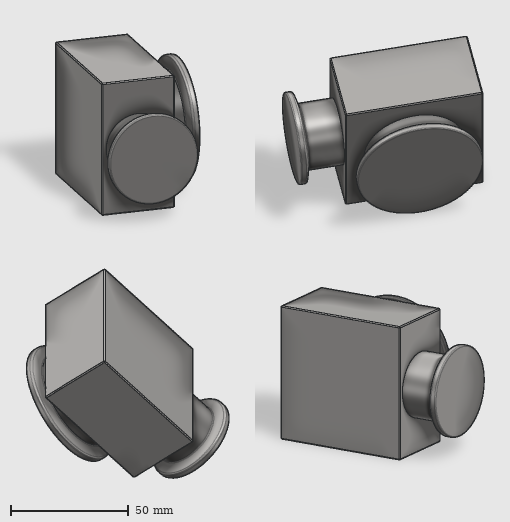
import cadquery as cq
import math

body_length = 60.0
body_depth = 33.0
body_height = 59.5
body_chamfer = 0.5

rear_flange_diameter = 55.0
rear_tube_diameter = 44.0
rear_port_reach = 12.5

side_flange_diameter = 40.0
side_tube_diameter = 29.0
side_port_reach = 20.0

rim_width = 3.0
cone_angle = 15.0
rim_front_fillet = 0.5
rim_back_fillet = 1.0
neck_fillet = 0.5


def make_body():
    return cq.Workplane("XY").box(body_length, body_depth, body_height).edges().chamfer(body_chamfer)


def make_port(flange_diameter, tube_diameter, reach):
    """Solid clamp-flange port along +X, from its root at X = 0 to its flange face at X = reach."""
    flange_radius = flange_diameter / 2
    tube_radius = tube_diameter / 2
    rim_back = reach - rim_width
    cone_start = rim_back - (flange_radius - tube_radius) * math.tan(math.radians(cone_angle))

    port = (
        cq.Workplane("XY")
        .moveTo(0, 0)
        .lineTo(0, tube_radius)
        .lineTo(cone_start, tube_radius)
        .lineTo(rim_back, flange_radius)
        .lineTo(reach, flange_radius)
        .lineTo(reach, 0)
        .close()
        .revolve(360, (0, 0, 0), (1, 0, 0))
    )

    def ring_at(position):
        """Selects the circular edge lying in the plane X = position."""
        margin = 0.01
        return cq.selectors.BoxSelector(
            (position - margin, -flange_radius, -flange_radius),
            (position + margin, flange_radius, flange_radius),
            boundingbox=False,
        )

    port = port.edges("%CIRCLE").edges(ring_at(cone_start)).fillet(neck_fillet)
    port = port.edges("%CIRCLE").edges(ring_at(rim_back)).fillet(rim_back_fillet)
    return port.faces(">X").edges().fillet(rim_front_fillet)


side_port = make_port(side_flange_diameter, side_tube_diameter, side_port_reach)
side_port = side_port.translate((body_length / 2, 0, 0))

rear_port = make_port(rear_flange_diameter, rear_tube_diameter, rear_port_reach)
rear_port = rear_port.rotate((0, 0, 0), (0, 0, 1), 90).translate((0, body_depth / 2, 0))

result = make_body().union(side_port).union(rear_port)